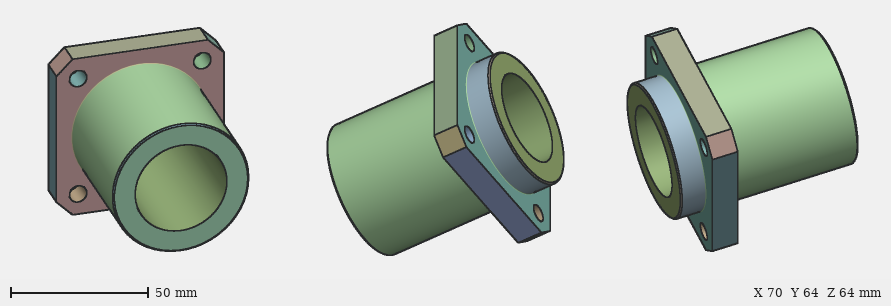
import cadquery as cq

length = 70.0
body_diameter = 52.0
bore_diameter = 35.0
end_chamfer = 0.55

flange_side = 64.0
flange_start = 9.95
flange_thickness = 10.0
corner_chamfer = 6.15
root_fillet = 0.3

hole_diameter = 6.6
hole_spacing = 47.4


def cylinder(diameter, start, depth):
    """Cylinder on the sleeve axis, growing toward +X."""
    return cq.Workplane("YZ", origin=(start, 0, 0)).circle(diameter / 2).extrude(depth)


def make_flange():
    """Square plate with cut corners and one hole near each corner."""
    plane = cq.Workplane("YZ", origin=(flange_start, 0, 0))
    plate = plane.rect(flange_side, flange_side).extrude(flange_thickness)
    plate = plate.edges("|X").chamfer(corner_chamfer)
    holes = (
        plane.rect(hole_spacing, hole_spacing, forConstruction=True)
        .vertices()
        .circle(hole_diameter / 2)
        .extrude(flange_thickness)
    )
    return plate.cut(holes)


sleeve = cylinder(body_diameter, 0, length).faces("<X or >X").edges().chamfer(end_chamfer)
bore = cylinder(bore_diameter, 0, length)


body = sleeve.union(make_flange())
root_edges = cq.selectors.BoxSelector(
    (flange_start - root_fillet, -body_diameter, -body_diameter),
    (flange_start + flange_thickness + root_fillet, body_diameter, body_diameter),
)
body = body.edges(root_edges).edges(cq.selectors.RadiusNthSelector(-1)).fillet(root_fillet)

result = body.cut(bore)